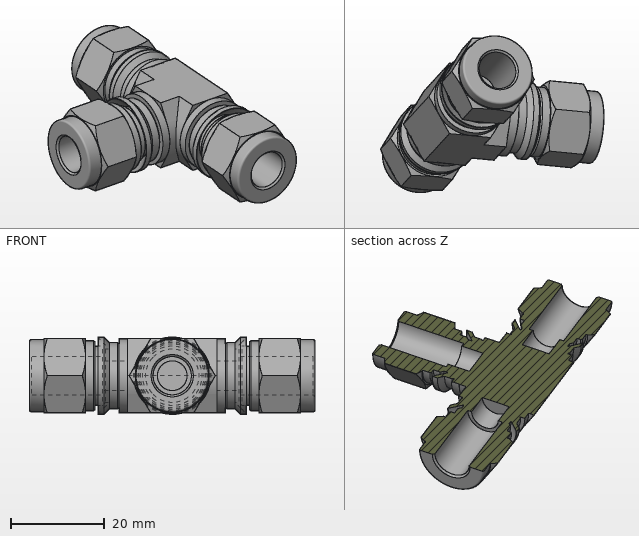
import cadquery as cq
import math

arm_length = 30.5
arm_directions = (0, 180, -90)

hex_flats = 15.9
flat_radius = hex_flats / 2
corner_radius = flat_radius / math.cos(math.radians(30))
half_flat = corner_radius / 2
touch_side = flat_radius * math.cos(math.radians(30))
touch_height = flat_radius * math.sin(math.radians(30))

body_end = 9.5
collar_end = 11.35
neck_end = 13.4
flange_start = 14.55
groove_start = 14.85
flange_end = 15.85
groove_end = 16.45
nut_start = 18.45
nut_end = 27.4

collar_diameter = 15.85
neck_diameter = 14.2
flange_diameter = 16.5
recess_diameter = 16.3
relief_diameter = 11.4
groove_diameter = 12.7
sleeve_diameter = 15.0
tail_diameter = 15.5

recess_floor = flange_end - (recess_diameter - relief_diameter) / 2
relief_end = groove_start - (groove_diameter - relief_diameter) / 2

turned_chamfer = 0.3
tail_fillet = 0.4
nut_chamfer_diameter = 15.8
nut_chamfer_angle = 30.0

port_diameter = 8.15
port_chamfer = 0.4
port_floor = 14.55
inner_port_diameter = 6.35
inner_port_floor = body_end


def rod(diameter, start, end):
    """Cylinder on the X axis between two stations."""
    return cq.Workplane("YZ").workplane(offset=start).circle(diameter / 2).extrude(end - start)


def cone(start_diameter, start, end_diameter, end):
    """Conical frustum on the X axis between two stations."""
    frustum = cq.Solid.makeCone(
        start_diameter / 2, end_diameter / 2, end - start,
        cq.Vector(start, 0, 0), cq.Vector(1, 0, 0),
    )
    return cq.Workplane(frustum)


def make_run():
    """Body along X: a hexagon whose -Y corner is rounded to the inscribed circle."""
    return (
        cq.Workplane("YZ").workplane(offset=-body_end)
        .moveTo(corner_radius, 0)
        .lineTo(half_flat, flat_radius)
        .lineTo(-half_flat, flat_radius)
        .lineTo(-touch_side, touch_height)
        .threePointArc((-flat_radius, 0), (-touch_side, -touch_height))
        .lineTo(-half_flat, -flat_radius)
        .lineTo(half_flat, -flat_radius)
        .close()
        .extrude(2 * body_end)
    )


def make_branch():
    """Body along -Y: a hexagon with both side corners rounded to the inscribed circle."""
    return (
        cq.Workplane("XZ")
        .moveTo(half_flat, flat_radius)
        .lineTo(-half_flat, flat_radius)
        .lineTo(-touch_side, touch_height)
        .threePointArc((-flat_radius, 0), (-touch_side, -touch_height))
        .lineTo(-half_flat, -flat_radius)
        .lineTo(half_flat, -flat_radius)
        .lineTo(touch_side, -touch_height)
        .threePointArc((flat_radius, 0), (touch_side, touch_height))
        .close()
        .extrude(body_end)
    )


def make_flange():
    """Dished flange: coned on the body side, recessed on the nut side."""
    return (
        cone(neck_diameter, neck_end, flange_diameter, flange_start)
        .union(rod(flange_diameter, flange_start, flange_end))
    )


def make_root():
    """Core that carries the arm through the flange recess to the sleeve."""
    return (
        rod(relief_diameter, recess_floor, groove_end)
        .union(cone(relief_diameter, relief_end, groove_diameter, groove_start))
        .union(rod(groove_diameter, groove_start, groove_end))
    )


def make_stem():
    """Collar, neck, flange, grooved root and sleeve between body and nut."""
    neck = rod(neck_diameter, collar_end, neck_end).faces("<X").chamfer(turned_chamfer)
    sleeve = rod(sleeve_diameter, groove_end, nut_start).faces("<X").chamfer(turned_chamfer)
    recess = cone(relief_diameter, recess_floor, recess_diameter, flange_end)
    return (
        rod(collar_diameter, body_end, collar_end)
        .union(neck)
        .union(make_flange())
        .cut(recess)
        .union(make_root())
        .union(sleeve)
    )


def make_nut():
    """Hexagonal nut with both ends chamfered by a cone, and its round tail."""
    end_radius = nut_chamfer_diameter / 2
    chamfer_length = (corner_radius - end_radius) * math.tan(math.radians(nut_chamfer_angle))
    hexagon = (
        cq.Workplane("YZ").workplane(offset=nut_start)
        .polygon(6, 2 * corner_radius)
        .extrude(nut_end - nut_start)
    )
    envelope = (
        cq.Workplane("XY")
        .moveTo(nut_start, 0)
        .lineTo(nut_start, end_radius)
        .lineTo(nut_start + chamfer_length, corner_radius)
        .lineTo(nut_end - chamfer_length, corner_radius)
        .lineTo(nut_end, end_radius)
        .lineTo(nut_end, 0)
        .close()
        .revolve(360, (0, 0, 0), (1, 0, 0))
    )
    tail = rod(tail_diameter, nut_end, arm_length).faces(">X").edges().fillet(tail_fillet)
    return hexagon.intersect(envelope).union(tail)


def make_port():
    """Solid shape of the stepped port with its chamfered mouth."""
    mouth_diameter = port_diameter + 2 * port_chamfer
    return (
        rod(port_diameter, port_floor, arm_length)
        .union(rod(inner_port_diameter, inner_port_floor, port_floor))
        .union(cone(port_diameter, arm_length - port_chamfer, mouth_diameter, arm_length))
    )


arm = make_stem().union(make_nut()).cut(make_port())

result = make_run().union(make_branch())
for direction in arm_directions:
    result = result.union(arm.rotate((0, 0, 0), (0, 0, 1), direction))